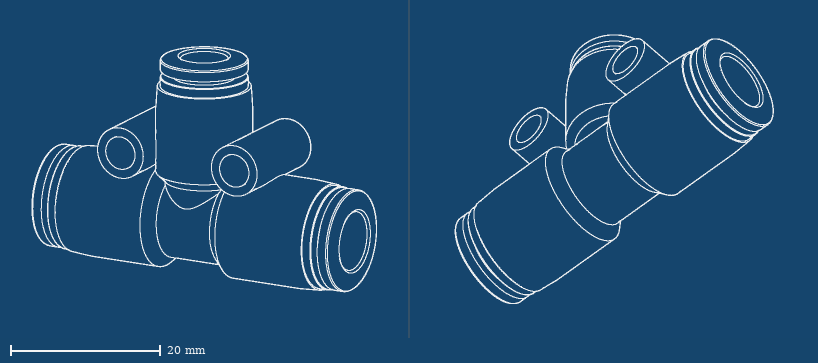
import cadquery as cq

QUARTER_TURN = 90
FULL_TURN = 360

RUN_LENGTH = 46.1
BRANCH_REACH = 22.6

RUN_BODY_DIA = 14.8
RUN_SLEEVE_DIA = 14.0
RUN_COLLAR_DIA = 13.8
RUN_TUBE_DIA = 7.94
RUN_WAIST_DIA = 11.8
RUN_WAIST_HALF_LENGTH = 4.08
RUN_SHOULDER_LENGTH = 1.65

BRANCH_BODY_DIA = 13.0
BRANCH_SLEEVE_DIA = 11.8
BRANCH_COLLAR_DIA = 11.8
BRANCH_TUBE_DIA = 6.35
BRANCH_WAIST_DIA = 10.6
BRANCH_WAIST_TOP = 5.3
BRANCH_SHOULDER_LENGTH = 1.2

COLLAR_CROWN = 0.62
RIM_BEVEL_LENGTH = 0.2
RIM_BEVEL_DEPTH = 0.12
COLLAR_BACK = 1.92
NECK_FLARE_END = 2.3
SLEEVE_FACE = 2.88
SLEEVE_BACK = 4.2
BODY_CROWN_END = 7.15
SOCKET_DEPTH = 15.0

NECK_WALL = 1.0
NECK_FLARE = 0.1
SLEEVE_CHAMFER = 0.1
BODY_CROWN_DROP = 0.2
BODY_CROWN_MIDDLE_DROP = 0.08
MOUTH_CHAMFER = 0.33
FLOW_DIA = 5.0

EYELET_DIA = 7.0
EYELET_HOLE_DIA = 4.5
EYELET_LENGTH = RUN_BODY_DIA
EYELET_X = 8.72
EYELET_Z = 9.68


def arm(reach, body_dia, sleeve_dia, collar_dia, tube_dia, waist_dia, waist_end, shoulder_length):
    """Solid arm revolved about +Z, from the origin out to the collar face."""
    body_radius = body_dia / 2
    sleeve_radius = sleeve_dia / 2
    collar_radius = collar_dia / 2
    tube_radius = tube_dia / 2
    neck_radius = tube_radius + NECK_WALL
    waist_radius = waist_dia / 2
    crown_radius = body_radius - BODY_CROWN_DROP
    crown_middle = (body_radius - BODY_CROWN_MIDDLE_DROP, reach - (SLEEVE_BACK + BODY_CROWN_END) / 2)
    profile = (
        cq.Workplane("XZ")
        .lineTo(waist_radius, 0)
        .lineTo(waist_radius, waist_end)
        .lineTo(body_radius, waist_end + shoulder_length)
        .lineTo(body_radius, reach - BODY_CROWN_END)
        .threePointArc(crown_middle, (crown_radius, reach - SLEEVE_BACK))
        .lineTo(sleeve_radius, reach - SLEEVE_BACK)
        .lineTo(sleeve_radius, reach - SLEEVE_FACE - SLEEVE_CHAMFER)
        .lineTo(sleeve_radius - SLEEVE_CHAMFER, reach - SLEEVE_FACE)
        .lineTo(neck_radius, reach - SLEEVE_FACE)
        .lineTo(neck_radius, reach - NECK_FLARE_END)
        .lineTo(neck_radius + NECK_FLARE, reach - COLLAR_BACK)
        .lineTo(collar_radius, reach - COLLAR_BACK)
        .lineTo(collar_radius, reach - COLLAR_CROWN)
        .lineTo(collar_radius - RIM_BEVEL_DEPTH, reach - COLLAR_CROWN + RIM_BEVEL_LENGTH)
        .lineTo(tube_radius + MOUTH_CHAMFER, reach)
        .lineTo(0, reach)
        .close()
    )
    return profile.revolve(FULL_TURN, (0, 0), (0, 1))


def passage(reach, tube_dia):
    """Stepped bore of one arm: mouth chamfer, tube socket and flow hole."""
    tube_radius = tube_dia / 2
    flow_radius = FLOW_DIA / 2
    profile = (
        cq.Workplane("XZ")
        .lineTo(flow_radius, 0)
        .lineTo(flow_radius, reach - SOCKET_DEPTH)
        .lineTo(tube_radius, reach - SOCKET_DEPTH)
        .lineTo(tube_radius, reach - MOUTH_CHAMFER)
        .lineTo(tube_radius + MOUTH_CHAMFER, reach)
        .lineTo(0, reach)
        .close()
    )
    return profile.revolve(FULL_TURN, (0, 0), (0, 1))


def along_run(shape, side):
    """Turn a shape built along +Z so that it points along X on the given side."""
    return shape.rotate((0, 0, 0), (0, 1, 0), side * QUARTER_TURN)


def eyelet_cylinder(side, diameter):
    """Cylinder along Y, centred on the eyelet axis."""
    return (
        cq.Workplane("XZ")
        .center(side * EYELET_X, EYELET_Z)
        .circle(diameter / 2)
        .extrude(EYELET_LENGTH / 2, both=True)
    )


SIDES = (-1, 1)
run_reach = RUN_LENGTH / 2

run_arm = arm(
    run_reach, RUN_BODY_DIA, RUN_SLEEVE_DIA, RUN_COLLAR_DIA, RUN_TUBE_DIA,
    RUN_WAIST_DIA, RUN_WAIST_HALF_LENGTH, RUN_SHOULDER_LENGTH,
)
run_passage = passage(run_reach, RUN_TUBE_DIA)

result = arm(
    BRANCH_REACH, BRANCH_BODY_DIA, BRANCH_SLEEVE_DIA, BRANCH_COLLAR_DIA, BRANCH_TUBE_DIA,
    BRANCH_WAIST_DIA, BRANCH_WAIST_TOP, BRANCH_SHOULDER_LENGTH,
)
for side in SIDES:
    result = result.union(along_run(run_arm, side))
    result = result.union(eyelet_cylinder(side, EYELET_DIA))

result = result.cut(passage(BRANCH_REACH, BRANCH_TUBE_DIA))
for side in SIDES:
    result = result.cut(along_run(run_passage, side))
    result = result.cut(eyelet_cylinder(side, EYELET_HOLE_DIA))